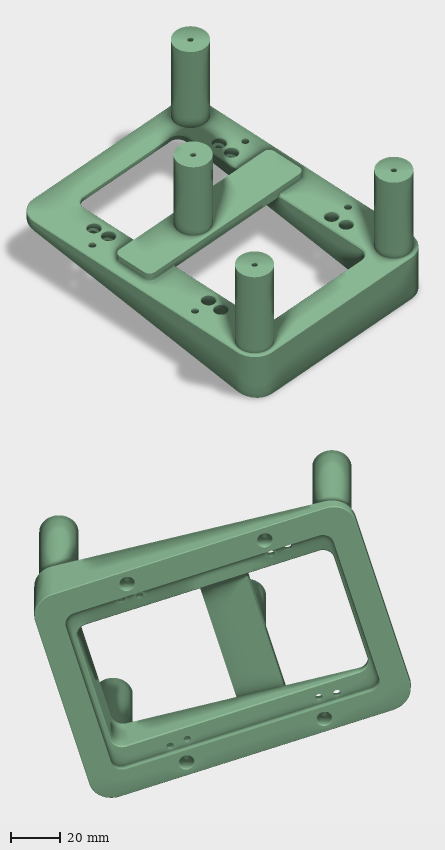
import cadquery as cq
import math

length = 135.0
width = 101.0
overall_height = 64.0
thin_end = 4.0
slope_angle = 8.0
corner_radius = 10.0
edge_chamfer = 0.34
window_chamfer = 0.5
slope = math.tan(math.radians(slope_angle))
thick_end = thin_end + length * slope

window_length = 108.0
window_width = 60.1
window_radius = 5.0

recess_length = 114.0
recess_width = 77.8
recess_depth = 3.0
recess_radius = 5.0

bar_x = -7.4
bar_length = 90.0
bar_width = 20.0
bar_rise = 4.0
bar_sink = 0.8
bar_corner_radius = 3.0
bar_fillet = 1.0

post_diameter = 15.9
post_top = overall_height - thick_end
post_inset = corner_radius
pilot_diameter = 2.3
pilot_depth = 10.0
pilot_tip_angle = 118.0
bar_post_y = -9.5

slanted_diameter = 3.0
upright_diameter = 3.2
head_diameter = 6.0
seat_thickness = 2.0
slanted_middle = -3.2
slanted_spacings = [
    (71.0, 72.9),
    (56.0, 71.5),
]
upright_middle = -1.4
upright_spacing_x = 58.0
upright_spacing_y = 89.0
upright_head_depth = 5.0

SHORTEST = 0
SECOND_LONGEST = -2
LONGEST = -1


def rounded_block(size_x, size_y, radius, bottom, top):
    """Upright block centred on the Z axis, with rounded vertical corners."""
    block = cq.Workplane("XY").workplane(offset=bottom).rect(size_x, size_y).extrude(top - bottom)
    return block.edges("|Z").fillet(radius)


def underside_plane():
    """Workplane on the sloping underside below the middle, its normal pointing into the frame."""
    angle = math.radians(slope_angle)
    middle_depth = (thin_end + thick_end) / 2
    return cq.Workplane(cq.Plane(
        origin=(0, 0, -middle_depth),
        xDir=(math.cos(angle), 0, -math.sin(angle)),
        normal=(math.sin(angle), 0, math.cos(angle)),
    ))


upward = cq.Vector(0, 0, 1)
inward = underside_plane().plane.zDir


def make_frame():
    blank = rounded_block(length, width, corner_radius, -thick_end, 0)
    wedge = (
        cq.Workplane("XZ")
        .polyline([
            (-length / 2, 0),
            (length / 2, 0),
            (length / 2, -thick_end),
            (-length / 2, -thin_end),
        ])
        .close()
        .extrude(width / 2, both=True)
    )
    recess = (
        underside_plane()
        .rect(recess_length, recess_width)
        .extrude(recess_depth)
        .edges(cq.selectors.ParallelDirSelector(inward))
        .fillet(recess_radius)
    )
    window = rounded_block(window_length, window_width, window_radius, -thick_end, 0)
    return blank.intersect(wedge).cut(recess).cut(window)


def chamfer_loops(frame, direction, length_rank, size):
    """Chamfer loops of the outermost flat face along a direction, picked by rank in length."""
    facing = cq.selectors.ParallelDirSelector(direction)
    outermost = cq.selectors.DirectionMinMaxSelector(direction, directionMax=True)
    loops = cq.selectors.LengthNthSelector(length_rank)
    return frame.faces(facing).faces(outermost).wires(loops).chamfer(size)


def chamfer_window(frame):
    """Break the window edge in the frame top and in the recess floor."""
    for direction in (upward, inward):
        frame = chamfer_loops(frame, direction, SECOND_LONGEST, window_chamfer)
    return frame


def chamfer_outline_and_rims(frame, direction):
    """Break the outer edge and the hole rims of the top or of the underside."""
    for length_rank in (SHORTEST, LONGEST):
        frame = chamfer_loops(frame, direction, length_rank, edge_chamfer)
    return frame


def add_bar(frame):
    """Join the bar to the frame, with a concave fillet round each end down to the frame top."""
    bar = rounded_block(bar_width, bar_length, bar_corner_radius, -bar_sink, bar_rise)
    slab = rounded_block(2 * bar_width, width, bar_corner_radius, -bar_sink, 0)
    base_edges = cq.selectors.BoxSelector(
        (-bar_width / 2 - bar_fillet, -bar_length / 2 - bar_fillet, -bar_sink / 2),
        (bar_width / 2 + bar_fillet, bar_length / 2 + bar_fillet, bar_sink / 2),
    )
    flared = slab.union(bar).edges(base_edges).fillet(bar_fillet)
    outline = rounded_block(
        bar_width + 2 * bar_fillet,
        bar_length + 2 * bar_fillet,
        bar_corner_radius + bar_fillet,
        -bar_sink,
        bar_rise,
    )
    gap_width = window_width + 2 * window_chamfer
    gap = cq.Workplane("XY").box(length, gap_width, 2 * bar_rise)
    ends = flared.intersect(outline).cut(gap)
    return frame.union(bar.union(ends).translate((bar_x, 0, 0)))


def add_posts(body):
    corner_x = length / 2 - post_inset
    corner_y = width / 2 - post_inset
    feet = [
        (-corner_x, corner_y, 0),
        (corner_x, corner_y, 0),
        (corner_x, -corner_y, 0),
        (bar_x, bar_post_y, bar_rise),
    ]
    pilot_radius = pilot_diameter / 2
    tip_length = pilot_radius / math.tan(math.radians(pilot_tip_angle / 2))
    pilot_profile = [
        (0, post_top),
        (pilot_radius + edge_chamfer, post_top),
        (pilot_radius, post_top - edge_chamfer),
        (pilot_radius, post_top - pilot_depth),
        (0, post_top - pilot_depth - tip_length),
    ]
    pilot = cq.Workplane("XZ").polyline(pilot_profile).close().revolve()
    for x, y, foot in feet:
        post = cq.Workplane("XY", origin=(0, 0, foot)).circle(post_diameter / 2).extrude(post_top - foot)
        body = body.union(post.cut(pilot).translate((x, y, 0)))
    return body


def cut_slanted_holes(body):
    """Holes square to the underside, with head bores from the top down to their seats."""
    reach = 2 * thick_end
    for spacing_x, spacing_y in slanted_spacings:
        for diameter, start in [(slanted_diameter, 0), (head_diameter, recess_depth + seat_thickness)]:
            cutter = (
                underside_plane()
                .workplane(offset=start)
                .center(slanted_middle, 0)
                .rect(spacing_x, spacing_y, forConstruction=True)
                .vertices()
                .circle(diameter / 2)
                .extrude(reach)
            )
            body = body.cut(cutter)
    return body


def cut_upright_holes(body):
    """Vertical holes with head bores from the underside."""
    for side_x in (-1, 1):
        x = upright_middle + side_x * upright_spacing_x / 2
        underside = -thin_end - (x + length / 2) * slope
        for side_y in (-1, 1):
            axis = cq.Workplane("XY", origin=(x, side_y * upright_spacing_y / 2, 0))
            screw = axis.circle(upright_diameter / 2).extrude(-thick_end)
            seat = axis.workplane(offset=underside + upright_head_depth)
            head = seat.circle(head_diameter / 2).extrude(-thick_end)
            body = body.cut(screw).cut(head)
    return body


frame = chamfer_window(make_frame())
frame = cut_slanted_holes(frame)
frame = chamfer_outline_and_rims(frame, upward)
frame = cut_upright_holes(frame)
frame = chamfer_outline_and_rims(frame, -inward)
result = add_posts(add_bar(frame))